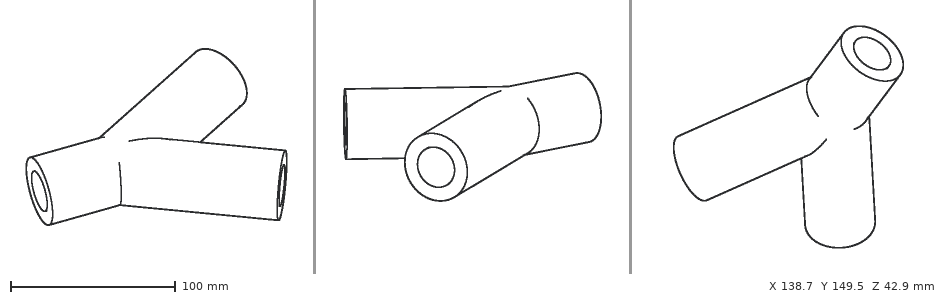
import cadquery as cq
import math

overall_length = 149.5
outer_diameter = 42.9
bore_diameter = 25.4
branch_angle = 30.0
branch_to_stem_ratio = 2.0

sine = math.sin(math.radians(branch_angle))
cosine = math.cos(math.radians(branch_angle))
miter_slope = math.tan(math.radians(branch_angle / 2))

stem_length = (overall_length - outer_diameter / 2 * sine) / (1 + branch_to_stem_ratio * cosine)
branch_length = branch_to_stem_ratio * stem_length
reach = 2 * overall_length
miter_drop = reach * miter_slope


def rod(diameter, start, direction, length):
    """Cylinder from a start point along a direction in the XY plane."""
    return cq.Workplane(
        obj=cq.Solid.makeCylinder(diameter / 2, length, cq.Vector(*start), cq.Vector(*direction))
    )


def trim_region(points):
    """Prism over an XY outline, centred on the plane of the axes."""
    return cq.Workplane("XY").polyline(points).close().extrude(reach, both=True)


def y_body(diameter):
    """Stem and two branches of one diameter, meeting on their bisecting planes."""
    stem_region = trim_region([
        (0, stem_length),
        (reach, stem_length - miter_drop),
        (reach, -reach),
        (-reach, -reach),
        (-reach, stem_length - miter_drop),
    ])
    body = rod(diameter, (0, 0, 0), (0, 1, 0), stem_length).intersect(stem_region)

    for side in (-1, 1):
        branch_region = trim_region([
            (0, stem_length),
            (side * reach, stem_length - miter_drop),
            (side * reach, reach),
            (0, reach),
        ])
        start = (-side * diameter * sine, stem_length - diameter * cosine, 0)
        branch = rod(diameter, start, (side * sine, cosine, 0), branch_length + diameter)
        body = body.union(branch.intersect(branch_region))
    return body


result = y_body(outer_diameter).cut(y_body(bore_diameter))